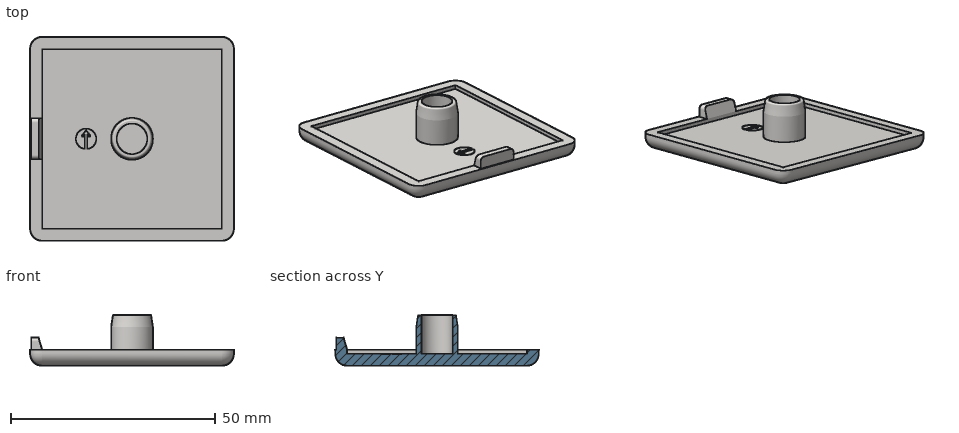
import cadquery as cq

plate_side = 50.0
plate_height = 4.0
edge_radius = 3.0

recess_side = plate_side - 2 * edge_radius
recess_depth = 1.0
recess_floor = plate_height - recess_depth

stud_diameter = 10.3
stud_tip_diameter = 9.4
stud_bore_diameter = 7.5
stud_top = 12.5
stud_taper_height = 3.0
stud_tip_radius = 0.4

tab_width = 10.0
tab_top = 7.0
tab_setback = 0.3
tab_outer_x = -plate_side / 2 + tab_setback
tab_inner_x = -recess_side / 2
tab_crest_thickness = 1.8
tab_corner_radius = 1.0

dial_diameter = 5.0
dial_x = -11.25
dial_depth = 0.1
arrow_shaft_half_width = 0.33
arrow_tip_y = 2.1
arrow_barb_x = 1.05
arrow_barb_y = 0.75
arrow_heel_x = 0.8
arrow_heel_y = 0.45
arrow_neck_y = 0.95


def make_plate():
    plate = cq.Workplane("XY").rect(plate_side, plate_side).extrude(plate_height)
    plate = plate.edges("|Z").fillet(edge_radius)
    plate = plate.faces("<Z").edges().fillet(edge_radius)
    recess = (
        cq.Workplane("XY")
        .workplane(offset=recess_floor)
        .rect(recess_side, recess_side)
        .extrude(recess_depth)
    )
    return plate.cut(recess)


def make_stud():
    """Revolve the tubular stud, standing on the recess floor."""
    outer = stud_diameter / 2
    tip = stud_tip_diameter / 2
    bore = stud_bore_diameter / 2
    stud = (
        cq.Workplane("XZ")
        .moveTo(bore, recess_floor)
        .lineTo(outer, recess_floor)
        .lineTo(outer, stud_top - stud_taper_height)
        .lineTo(tip, stud_top)
        .lineTo(bore, stud_top)
        .close()
        .revolve(360, (0, 0, 0), (0, 1, 0))
    )
    tip_edge = stud.faces(">Z").edges(cq.selectors.RadiusNthSelector(-1))
    return tip_edge.fillet(stud_tip_radius)


def make_tab():
    """Extrude the tab section along Y and round its two upper ends."""
    tab = (
        cq.Workplane("XZ")
        .moveTo(tab_outer_x, plate_height)
        .lineTo(tab_inner_x, plate_height)
        .lineTo(tab_outer_x + tab_crest_thickness, tab_top)
        .lineTo(tab_outer_x, tab_top)
        .close()
        .extrude(tab_width / 2, both=True)
    )
    return tab.faces(">Z").edges("|X").fillet(tab_corner_radius)


def make_dial_cut():
    """Disc to remove from the recess floor, less the arrow that stays level with it."""
    dial_plane = cq.Workplane("XY", origin=(dial_x, 0, recess_floor - dial_depth))
    disc = dial_plane.circle(dial_diameter / 2).extrude(dial_depth)
    arrow = (
        dial_plane.moveTo(0, arrow_tip_y)
        .lineTo(arrow_barb_x, arrow_barb_y)
        .lineTo(arrow_heel_x, arrow_heel_y)
        .lineTo(arrow_shaft_half_width, arrow_neck_y)
        .lineTo(arrow_shaft_half_width, -dial_diameter / 2)
        .lineTo(0, -dial_diameter / 2)
        .mirrorY()
        .extrude(dial_depth)
    )
    return disc.cut(arrow)


result = make_plate().cut(make_dial_cut()).union(make_stud()).union(make_tab())